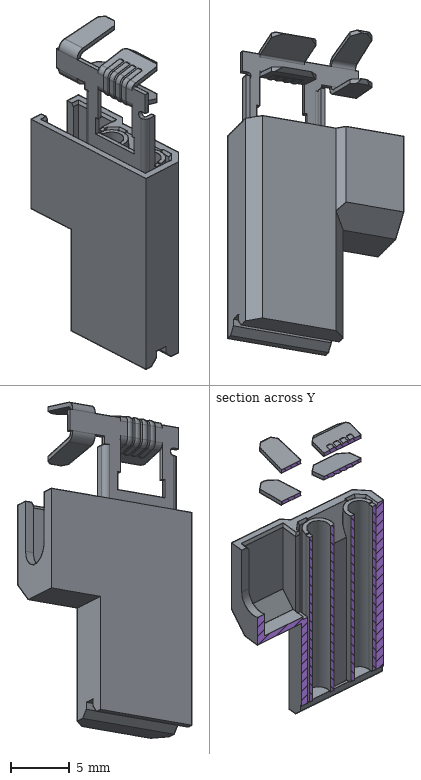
import cadquery as cq
import math

LENGTH_X = 14.0
HOUSING_TOP = 19.15
HEAD_BOTTOM = 10.17
HEAD_DEPTH = 5.77
BODY_DEPTH = 5.1
BODY_LEFT = 4.9
BODY_CORNER = 1.15
HEAD_RIGHT = 6.05
HEAD_UNDERCUT = 1.82

LEAD_IN = 0.185
LEAD_IN_HEIGHT = 0.28
RIM_WALL = 0.6
CAVITY_WALL = RIM_WALL + LEAD_IN
CABLE_RIGHT = 5.05
CABLE_REAR = 4.97
CABLE_FLOOR = 10.85
CABLE_SLOPE_START = 3.58
PARTITION_END = 3.25
PARTITION_RIGHT = 5.57
NECK_FLOOR = 10.57
CONTACT_REAR = 4.3
CONTACT_RIGHT = 13.15
CONTACT_LEFT_CORNER = 0.8
CONTACT_RIGHT_CORNER = 0.63
DIVIDER_LEFT = 7.25
DIVIDER_RIGHT = 11.57

CABLE_SLOT_CENTRE = 2.8
CABLE_SLOT_RADIUS = 1.55
CABLE_SLOT_BOTTOM = 13.07
GROOVE_CENTRE = 1.85
GROOVE_WIDTH = 1.1
GROOVE_MOUTH = 2.4
GROOVE_SHOULDER = 0.65
GROOVE_TOP = 1.28

SHEET = 0.4
SHEET_FRONT = CAVITY_WALL
SHEET_BACK = SHEET_FRONT + SHEET
FRAME_LEFT = 5.75
FRAME_RIGHT = 13.13
FRAME_CENTRE = (FRAME_LEFT + FRAME_RIGHT) / 2
FRAME_BEND = 0.5
LEG_BACK = 1.95
LEG_TOP = 24.27
BAR_BOTTOM = 24.95
BAR_TOP = 26.85
BAR_LEFT = 2.3
BAR_MIDDLE = (BAR_BOTTOM + BAR_TOP) / 2
CURL_RADIUS = 1.42
CURL_CENTRE_Y = 2.67
CURL_TOP = HOUSING_TOP
CURL_OVERTURN = 30.0
CURL_CLEARANCE = 0.05
NOTCH_FRONT = 2.22
NOTCH_FLOOR = 19.05
RELIEF_END = 12.33

WINDOW_WIDTH = 4.15
WINDOW_FOOT_WIDTH = 4.7
WINDOW_BOTTOM = 20.35
WINDOW_STEP = 21.97
WINDOW_TOP = 25.25
TAB_ROOT = BAR_MIDDLE + (BAR_MIDDLE - WINDOW_TOP)
TAB_BEND = 0.6
TAB_TILT = 12.3
TAB_TIP_TOP = 27.77
TAB_TIP_DEPTH = 4.58
TIP_CORNER = 0.77

ARM_BEND = 0.85
ARM_TILT = 9.5
ARM_TIP_TOP = 28.42
ARM_TIP_DEPTH = 6.1
ARM_LEFT = 2.6
ARM_RIGHT = 4.83
ARM_TAPER = 0.2
ARM_TAPER_START = 1.05

BEAD_WIDTH = 0.55
BEAD_HEIGHT = 0.09
BEAD_OFFSETS = (-1.1, -0.37, 0.37, 1.1)
BEAD_END_DEPTH = 2.73


def prism_z(points, bottom, top):
    """Upright prism over an XY outline."""
    return cq.Workplane("XY").workplane(offset=bottom).polyline(points).close().extrude(top - bottom)


def prism_x(points, left, right):
    """Prism along X over a YZ outline."""
    return cq.Workplane("YZ").workplane(offset=left).polyline(points).close().extrude(right - left)


def block(left, right, front, rear, bottom, top):
    size = (right - left, rear - front, top - bottom)
    return cq.Workplane("XY").box(*size, centered=False).translate((left, front, bottom))


def housing_outside():
    body_plan = [
        (BODY_LEFT, 0),
        (LENGTH_X, 0),
        (LENGTH_X, BODY_DEPTH - BODY_CORNER),
        (LENGTH_X - BODY_CORNER, BODY_DEPTH),
        (BODY_LEFT + BODY_CORNER, BODY_DEPTH),
        (BODY_LEFT, BODY_DEPTH - BODY_CORNER),
    ]
    head_plan = [
        (0, 0),
        (HEAD_RIGHT, 0),
        (HEAD_RIGHT, BODY_DEPTH),
        (HEAD_RIGHT - (HEAD_DEPTH - BODY_DEPTH), HEAD_DEPTH),
        (0, HEAD_DEPTH),
    ]
    undercut = prism_x(
        [
            (HEAD_DEPTH - HEAD_UNDERCUT, HEAD_BOTTOM),
            (HEAD_DEPTH, HEAD_BOTTOM),
            (HEAD_DEPTH, HEAD_BOTTOM + HEAD_UNDERCUT),
        ],
        0,
        HEAD_RIGHT,
    )
    head = prism_z(head_plan, HEAD_BOTTOM, HOUSING_TOP).cut(undercut)
    return prism_z(body_plan, 0, HOUSING_TOP).union(head)


def contact_outline(widening):
    """Contact chamber corners from front right to rear left, widened by the lead-in slope."""
    corner_shift = widening * math.tan(math.radians(22.5))
    right = CONTACT_RIGHT + widening
    rear = CONTACT_REAR + widening
    left_corner = CONTACT_LEFT_CORNER - corner_shift
    return [
        (right, CAVITY_WALL - widening),
        (right, CONTACT_REAR - CONTACT_RIGHT_CORNER + corner_shift),
        (CONTACT_RIGHT - CONTACT_RIGHT_CORNER + corner_shift, rear),
        (PARTITION_RIGHT + left_corner, rear),
        (PARTITION_RIGHT, rear - left_corner),
    ]


def rim_outline(widening):
    """Outline of the whole opening, widened towards the rim by the lead-in slope."""
    return [
        (CAVITY_WALL - widening, CAVITY_WALL - widening),
        *contact_outline(widening),
        (PARTITION_RIGHT, PARTITION_END + widening),
        (CABLE_RIGHT + widening, PARTITION_END + widening),
        (CABLE_RIGHT + widening, CABLE_REAR + widening),
        (CAVITY_WALL - widening, CABLE_REAR + widening),
    ]


def cable_chamber():
    profile = [
        (CAVITY_WALL, CABLE_FLOOR),
        (CABLE_SLOPE_START, CABLE_FLOOR),
        (CABLE_REAR, CABLE_FLOOR + CABLE_REAR - CABLE_SLOPE_START),
        (CABLE_REAR, HOUSING_TOP),
        (CAVITY_WALL, HOUSING_TOP),
    ]
    chamber = prism_x(profile, CAVITY_WALL, CABLE_RIGHT)
    neck = block(CABLE_RIGHT, PARTITION_RIGHT, CAVITY_WALL, PARTITION_END, NECK_FLOOR, HOUSING_TOP)
    return chamber.union(neck)


def curl_centres():
    return (FRAME_LEFT + CURL_RADIUS, FRAME_RIGHT - CURL_RADIUS)


def divider():
    """Ramped wall between the two sockets, hollowed to clear them."""
    ramp_drop = (CONTACT_REAR - CURL_CENTRE_Y) * LEAD_IN_HEIGHT / LEAD_IN
    profile = [
        (CURL_CENTRE_Y, GROOVE_TOP),
        (CONTACT_REAR + LEAD_IN, GROOVE_TOP),
        (CONTACT_REAR + LEAD_IN, HOUSING_TOP),
        (CONTACT_REAR, HOUSING_TOP),
        (CURL_CENTRE_Y, HOUSING_TOP - ramp_drop),
    ]
    clearance = (
        cq.Workplane("XY")
        .pushPoints([(x, CURL_CENTRE_Y) for x in curl_centres()])
        .circle(CURL_RADIUS + CURL_CLEARANCE)
        .extrude(HOUSING_TOP)
    )
    return prism_x(profile, DIVIDER_LEFT, DIVIDER_RIGHT).cut(clearance)


def contact_chamber():
    plan = [(PARTITION_RIGHT, CAVITY_WALL), *contact_outline(0)]
    return prism_z(plan, GROOVE_TOP, HOUSING_TOP)


def lead_in():
    return (
        cq.Workplane("XY")
        .workplane(offset=HOUSING_TOP - LEAD_IN_HEIGHT)
        .polyline(rim_outline(0))
        .close()
        .workplane(offset=LEAD_IN_HEIGHT)
        .polyline(rim_outline(LEAD_IN))
        .close()
        .loft(ruled=True)
    )


def cable_slot():
    axis_height = CABLE_SLOT_BOTTOM + CABLE_SLOT_RADIUS
    round_end = (
        cq.Workplane("YZ")
        .center(CABLE_SLOT_CENTRE, axis_height)
        .circle(CABLE_SLOT_RADIUS)
        .extrude(CAVITY_WALL)
    )
    front = CABLE_SLOT_CENTRE - CABLE_SLOT_RADIUS
    rear = CABLE_SLOT_CENTRE + CABLE_SLOT_RADIUS
    return round_end.union(block(0, CAVITY_WALL, front, rear, axis_height, HOUSING_TOP))


def bottom_groove():
    half_mouth = GROOVE_MOUTH / 2
    half_width = GROOVE_WIDTH / 2
    profile = [
        (GROOVE_CENTRE - half_mouth, 0),
        (GROOVE_CENTRE - half_width, GROOVE_SHOULDER),
        (GROOVE_CENTRE - half_width, GROOVE_TOP),
        (GROOVE_CENTRE + half_width, GROOVE_TOP),
        (GROOVE_CENTRE + half_width, GROOVE_SHOULDER),
        (GROOVE_CENTRE + half_mouth, 0),
    ]
    return prism_x(profile, BODY_LEFT, LENGTH_X)


def make_housing():
    cavity = cable_chamber().union(contact_chamber()).union(lead_in()).cut(divider())
    return housing_outside().cut(cavity).cut(cable_slot()).cut(bottom_groove())


def frame_channel(top):
    """U-shaped channel of sheet with rounded front corners and straight legs."""
    outer = block(FRAME_LEFT, FRAME_RIGHT, SHEET_FRONT, CURL_CENTRE_Y, GROOVE_TOP, top)
    outer = outer.edges("|Z and <Y").fillet(FRAME_BEND)
    inner = block(
        FRAME_LEFT + SHEET, FRAME_RIGHT - SHEET, SHEET_BACK, CURL_CENTRE_Y, GROOVE_TOP, top
    )
    return outer.cut(inner.edges("|Z and <Y").fillet(FRAME_BEND - SHEET))


def leg_trim():
    """Space behind the tall legs, with the relief notch above the sockets."""
    profile = [
        (CURL_CENTRE_Y, NOTCH_FLOOR),
        (NOTCH_FRONT, NOTCH_FLOOR),
        (LEG_BACK, CURL_TOP),
        (LEG_BACK, LEG_TOP),
        (CURL_CENTRE_Y, LEG_TOP),
    ]
    return prism_x(profile, FRAME_LEFT, FRAME_RIGHT)


def curl(centre_x, side):
    """Curled socket that starts at its leg; side is +1 for the right leg and -1 for the left."""
    overturn = math.radians(CURL_OVERTURN)

    def at(radius, angle):
        return (centre_x + side * radius * math.cos(angle), CURL_CENTRE_Y + radius * math.sin(angle))

    inner_radius = CURL_RADIUS - SHEET
    end = math.pi + overturn
    return (
        cq.Workplane("XY")
        .workplane(offset=GROOVE_TOP)
        .moveTo(*at(CURL_RADIUS, 0))
        .threePointArc(at(CURL_RADIUS, end / 2), at(CURL_RADIUS, end))
        .lineTo(*at(inner_radius, end))
        .threePointArc(at(inner_radius, end / 2), at(inner_radius, 0))
        .close()
        .extrude(CURL_TOP - GROOVE_TOP)
    )


def front_plate():
    """Cross bar and the flat piece that joins it to the channel."""
    bar = block(BAR_LEFT, FRAME_RIGHT, SHEET_FRONT, SHEET_BACK, BAR_BOTTOM, BAR_TOP)
    web = block(FRAME_LEFT, FRAME_RIGHT, SHEET_FRONT, SHEET_BACK, LEG_TOP, BAR_BOTTOM)
    relief_radius = (BAR_BOTTOM - LEG_TOP) / 2
    relief_x = RELIEF_END + relief_radius
    relief = block(relief_x, FRAME_RIGHT, SHEET_FRONT, SHEET_BACK, LEG_TOP, BAR_BOTTOM).union(
        cq.Workplane("XZ", origin=(relief_x, SHEET_BACK, LEG_TOP + relief_radius))
        .circle(relief_radius)
        .extrude(SHEET)
    )
    return bar.union(web.cut(relief))


def plate_cutouts():
    """Stepped window below the tabs and the notch that frees the upper tab."""
    def opening(width, bottom, top):
        left = FRAME_CENTRE - width / 2
        return block(left, left + width, SHEET_FRONT, SHEET_BACK, bottom, top)

    return (
        opening(WINDOW_FOOT_WIDTH, WINDOW_BOTTOM, WINDOW_STEP)
        .union(opening(WINDOW_WIDTH, WINDOW_STEP, WINDOW_TOP))
        .union(opening(WINDOW_WIDTH, TAB_ROOT, BAR_TOP))
    )


def bent_profile(root, bend, tilt, tip_top, tip_depth):
    """YZ side outline of a strip bent back from the front face, with a bevelled tip."""
    angle = math.radians(tilt)
    centre = (SHEET_FRONT + bend, root)

    def at(radius, turn):
        return (centre[0] - radius * math.cos(turn), centre[1] + radius * math.sin(turn))

    full_turn = math.pi / 2 - angle
    inner = bend - SHEET
    outer_end = at(bend, full_turn)
    inner_end = at(inner, full_turn)
    top_tip_depth = outer_end[0] + (tip_top - outer_end[1]) / math.tan(angle)
    bottom_tip = inner_end[1] + (tip_depth - inner_end[0]) * math.tan(angle)
    return (
        cq.Workplane("YZ")
        .moveTo(*at(bend, 0))
        .threePointArc(at(bend, full_turn / 2), outer_end)
        .lineTo(top_tip_depth, tip_top)
        .lineTo(tip_depth, bottom_tip)
        .lineTo(*inner_end)
        .threePointArc(at(inner, full_turn / 2), at(inner, 0))
        .close()
    )


def mirrored_pair(upper):
    """The given upper piece together with its mirror image below the middle of the bar."""
    return upper.union(upper.mirror("XY", (0, 0, BAR_MIDDLE)))


def tabs():
    left = FRAME_CENTRE - WINDOW_WIDTH / 2
    right = FRAME_CENTRE + WINDOW_WIDTH / 2
    strip = bent_profile(TAB_ROOT, TAB_BEND, TAB_TILT, TAB_TIP_TOP, TAB_TIP_DEPTH).extrude(right)
    plan = [
        (left, SHEET_FRONT),
        (right, SHEET_FRONT),
        (right, TAB_TIP_DEPTH - TIP_CORNER),
        (right - TIP_CORNER, TAB_TIP_DEPTH),
        (left + TIP_CORNER, TAB_TIP_DEPTH),
        (left, TAB_TIP_DEPTH - TIP_CORNER),
    ]
    return mirrored_pair(strip.intersect(prism_z(plan, TAB_ROOT, ARM_TIP_TOP)))


def arms():
    strip = bent_profile(BAR_TOP, ARM_BEND, ARM_TILT, ARM_TIP_TOP, ARM_TIP_DEPTH).extrude(ARM_RIGHT)
    tip_left = ARM_LEFT + ARM_TAPER
    plan = [
        (ARM_LEFT, SHEET_FRONT),
        (ARM_RIGHT, SHEET_FRONT),
        (ARM_RIGHT, ARM_TIP_DEPTH - TIP_CORNER),
        (ARM_RIGHT - TIP_CORNER, ARM_TIP_DEPTH),
        (tip_left + TIP_CORNER, ARM_TIP_DEPTH),
        (tip_left, ARM_TIP_DEPTH - TIP_CORNER),
        (ARM_LEFT, ARM_TAPER_START),
    ]
    return mirrored_pair(strip.intersect(prism_z(plan, BAR_TOP, ARM_TIP_TOP)))


def bead(centre_x):
    """Rounded stiffening bead over the upper bend, down the bar and over the lower bend."""
    angle = math.radians(TAB_TILT)
    full_turn = math.pi / 2 - angle
    low_root = 2 * BAR_MIDDLE - TAB_ROOT
    centre_y = SHEET_FRONT + TAB_BEND

    def bend_point(turn, side):
        root = TAB_ROOT if side > 0 else low_root
        return (centre_y - TAB_BEND * math.cos(turn), root + side * TAB_BEND * math.sin(turn))

    def end_point(side):
        depth, height = bend_point(full_turn, side)
        return (BEAD_END_DEPTH, height + side * (BEAD_END_DEPTH - depth) * math.tan(angle))

    path = (
        cq.Workplane("YZ", origin=(centre_x, 0, 0))
        .moveTo(*end_point(1))
        .lineTo(*bend_point(full_turn, 1))
        .threePointArc(bend_point(full_turn / 2, 1), bend_point(0, 1))
        .lineTo(*bend_point(0, -1))
        .threePointArc(bend_point(full_turn / 2, -1), bend_point(full_turn, -1))
        .lineTo(*end_point(-1))
    )
    start = end_point(1)
    section_plane = cq.Plane(
        origin=(centre_x, start[0], start[1]),
        xDir=(1, 0, 0),
        normal=(0, -math.cos(angle), -math.sin(angle)),
    )
    half = BEAD_WIDTH / 2
    return (
        cq.Workplane(section_plane)
        .moveTo(-half, -BEAD_HEIGHT)
        .lineTo(-half, 0)
        .threePointArc((0, BEAD_HEIGHT), (half, 0))
        .lineTo(half, -BEAD_HEIGHT)
        .close()
        .sweep(path)
    )


def make_contact():
    contact = frame_channel(LEG_TOP).cut(leg_trim()).union(front_plate()).cut(plate_cutouts())
    for centre_x, side in zip(curl_centres(), (-1, 1)):
        contact = contact.union(curl(centre_x, side))
    contact = contact.union(tabs()).union(arms())
    for offset in BEAD_OFFSETS:
        contact = contact.union(bead(FRAME_CENTRE + offset))
    return contact


housing = make_housing()
contact = make_contact()

result = cq.Compound.makeCompound([housing.solids().val(), contact.solids().val()])